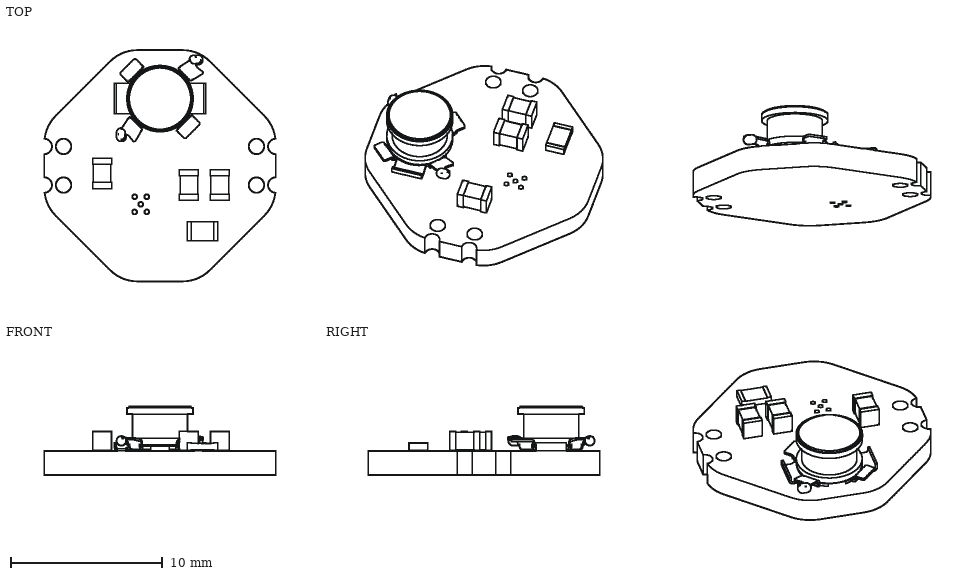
import cadquery as cq
import math

board_width = 15.24
board_thickness = 1.6
board_corner_cut = 5.08
board_corner_radius = 2.54
pad_hole_diameter = 1.0
pad_hole_x = 6.35
pad_row_y = 1.27
via_diameter = 0.3
via_center = (-1.27, -2.54)
via_offset_x = 0.4
via_offset_y = 0.5

chip_length = 2.0
chip_width = 1.25
chip_standoff = 0.025
capacitor_height = 1.25
capacitor_terminal_length = 0.4
capacitor_step = 0.045
capacitor_centers = [(-3.81, -0.5), (1.905, -1.27), (3.937, -1.27)]
resistor_height = 0.5
resistor_terminal_length = 0.25
resistor_step = 0.04
resistor_center = (2.794, -4.318)

inductor_center = (0, 4.42)
inductor_top = 4.53
cap_height = 0.1
cap_bottom_radius = 2.08
cap_top_radius = 2.02
flange_radius = 2.185
flange_bottom = 4.02
winding_radius = 1.82
base_top = 2.42
base_radius = 2.17
base_bottom = 1.89
base_chamfer = 0.11

sheet = 0.14
plate_bottom = 1.7
plate_radius = 2.1
plate_gap = 1.2
plate_mid = plate_bottom + sheet / 2
strip_inner_reach = 1.8
bend_radius = 0.18

clip_reach = 3.01
clip_width = 2.0
clip_top = 2.13
clip_foot_end = 2.27
clip_rise_end = 2.145
clip_bend_radius = 0.2

leg_mid = 2.32
blade_bottom = plate_bottom + sheet + bend_radius
tab_reach = 3.05
tab_top = 2.335
tab_mid = tab_top - sheet / 2
tab_width = 1.44
tab_leg_width = 1.15
tab_corner_radius = 0.13

hook_leg_width = 0.92
hook_blank_width = 1.84
hook_reach = 3.8
hook_tilt = math.radians(8)
hook_outline = [
    (2.2, -0.56),
    (2.42, -0.56),
    (3.6, -0.3),
    (3.74, 0.25),
    (3.22, 0.13),
    (3.18, 0.29),
    (3.24, 0.78),
    (3.12, 0.83),
    (2.42, 0.65),
    (2.2, 0.59),
]
bead_center = (3.48, -0.12)
bead_radius = 0.32
bead_straight = 0.25
bead_height = 2.26
bead_angle = 45


def make_board():
    board = (
        cq.Workplane("XY")
        .rect(board_width, board_width)
        .extrude(board_thickness)
        .edges("|Z")
        .chamfer(board_corner_cut)
        .edges("|Z")
        .fillet(board_corner_radius)
    )
    pad_holes = [
        (side * x, row * pad_row_y)
        for side in (-1, 1)
        for row in (-1, 1)
        for x in (pad_hole_x, board_width / 2)
    ]
    vias = [via_center] + [
        (via_center[0] + i * via_offset_x, via_center[1] + j * via_offset_y)
        for i in (-1, 1)
        for j in (-1, 1)
    ]
    for points, diameter in [(pad_holes, pad_hole_diameter), (vias, via_diameter)]:
        board = board.cut(cq.Workplane("XY").pushPoints(points).circle(diameter / 2).extrude(board_thickness))
    return board


def make_chip(height, terminal_length, side_step, face_step):
    """Chip lying along X, just clear of the board: a core between two slightly proud terminals."""
    core = cq.Workplane("XY").box(chip_length, chip_width - 2 * side_step, height - 2 * face_step)
    terminal_x = (chip_length - terminal_length) / 2
    terminals = (
        cq.Workplane("XY")
        .pushPoints([(-terminal_x, 0), (terminal_x, 0)])
        .box(terminal_length, chip_width, height)
    )
    return core.union(terminals).translate((0, 0, board_thickness + chip_standoff + height / 2))


def make_capacitor(center):
    chip = make_chip(capacitor_height, capacitor_terminal_length, capacitor_step, capacitor_step)
    return chip.rotate((0, 0, 0), (0, 0, 1), 90).translate((*center, 0))


def make_resistor():
    chip = make_chip(resistor_height, resistor_terminal_length, 0, resistor_step)
    return chip.translate((*resistor_center, 0))


def make_core():
    """Drum core turned about the Z axis."""
    flange_top = inductor_top - cap_height
    return (
        cq.Workplane("XZ")
        .moveTo(0, base_bottom)
        .lineTo(base_radius - base_chamfer, base_bottom)
        .lineTo(base_radius, base_bottom + base_chamfer)
        .lineTo(base_radius, base_top)
        .lineTo(winding_radius, base_top)
        .lineTo(winding_radius, flange_bottom)
        .lineTo(flange_radius, flange_bottom)
        .lineTo(flange_radius, flange_top)
        .lineTo(cap_bottom_radius, flange_top)
        .lineTo(cap_top_radius, inductor_top)
        .lineTo(0, inductor_top)
        .close()
        .revolve(360, (0, 0, 0), (0, 1, 0))
    )


def bent_strip(points, width, radius):
    """Sheet strip that follows (radial, height) points, starting along X, with rounded bends."""
    path = cq.Wire.makePolygon([cq.Vector(r, 0, z) for r, z in points])
    path = path.fillet(radius, path.Vertices()[1:-1])
    start = cq.Workplane("YZ", origin=(points[0][0], 0, points[0][1]))
    return start.rect(width, sheet).sweep(cq.Workplane(obj=path))


def make_plates():
    """Two disc halves under the core, with a gap between them."""
    seat = cq.Workplane("XY", origin=(0, 0, plate_bottom))
    disc = seat.circle(plate_radius).extrude(base_bottom - plate_bottom)
    gap = cq.Workplane("XY").box(plate_gap, 2 * plate_radius, 2 * base_top)
    return disc.cut(gap)


def make_clip():
    foot_mid = board_thickness + sheet / 2
    fin_mid = clip_reach - sheet / 2
    outline = [
        (strip_inner_reach, plate_mid),
        (clip_rise_end, plate_mid),
        (clip_foot_end, foot_mid),
        (fin_mid, foot_mid),
        (fin_mid, clip_top),
    ]
    return bent_strip(outline, clip_width, clip_bend_radius)


def raised_lead(leg_width, blade, outline):
    """Bent leg whose blade is kept above the lower bend, within the plan outline."""
    leg = bent_strip(
        [(strip_inner_reach, plate_mid), (leg_mid, plate_mid), (leg_mid, tab_mid - bend_radius)],
        leg_width,
        bend_radius,
    )
    return leg.union(blade.intersect(outline.extrude(base_top)))


def make_blade(tip, width):
    path = [(strip_inner_reach, plate_mid), (leg_mid, plate_mid), (leg_mid, tab_mid), tip]
    return bent_strip(path, width, bend_radius)


def make_tab():
    blade = make_blade((tab_reach, tab_mid), tab_width).edges("|Z and >X").fillet(tab_corner_radius)
    outline = cq.Workplane("XY", origin=(0, 0, blade_bottom)).rect(2 * tab_reach, tab_width)
    return raised_lead(tab_leg_width, blade, outline)


def make_hook():
    tip_height = tab_mid + (hook_reach - leg_mid) * math.tan(hook_tilt)
    blade = make_blade((hook_reach, tip_height), hook_blank_width)
    outline = cq.Workplane("XY", origin=(0, 0, blade_bottom)).polyline(hook_outline).close()
    return raised_lead(hook_leg_width, blade, outline).union(make_bead())


def make_bead():
    """Round-ended bar lying level across the prong."""
    half = bead_straight / 2
    ends = cq.Workplane("XY").pushPoints([(-half, 0), (half, 0)]).sphere(bead_radius)
    bar = cq.Workplane("YZ").circle(bead_radius).extrude(half, both=True)
    bead = bar.union(ends).rotate((0, 0, 0), (0, 0, 1), bead_angle)
    return bead.translate((*bead_center, bead_height))


def make_inductor():
    inductor = make_core().union(make_plates())
    clip = make_clip()
    tab = make_tab()
    hook = make_hook()
    placed = [(clip, 0), (clip, 180), (tab, 135), (tab, 315), (hook, 225), (hook.mirror("XZ"), 45)]
    for piece, angle in placed:
        inductor = inductor.union(piece.rotate((0, 0, 0), (0, 0, 1), angle))
    return inductor.translate((*inductor_center, 0))


board = make_board()
inductor = make_inductor()
capacitors = [make_capacitor(center) for center in capacitor_centers]
resistor = make_resistor()

result = cq.Compound.makeCompound(
    [board.val(), inductor.val(), *[capacitor.val() for capacitor in capacitors], resistor.val()]
)